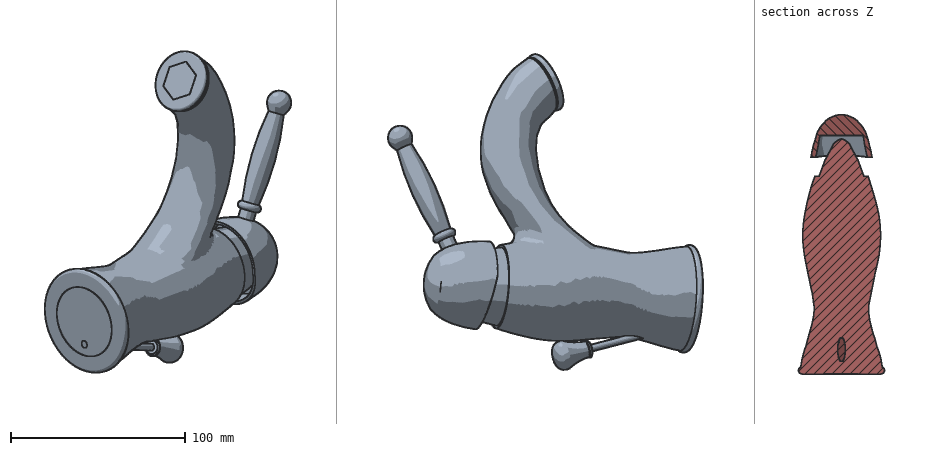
import cadquery as cq
import math


BEAD_RADIUS = 31.04
BEAD_WIDTH = 4.0
BASE_FACE_RADIUS = 28.9
FOOT_RADIUS = 30.0
FLARE_STATION = (13.9, 28.3)
WAIST_STATION = (36.5, 24.5)
SHOULDER_STATION = (52.0, 26.0)
BELLY_STATION = (79.5, 29.3)
BELLY_BACK_STATION = (99.1, 27.2)
BELLY_END = 113.8
BELLY_END_RADIUS = 24.0
NECK_RADIUS = 22.6
NECK_END = 137.1
NECK_END_RADIUS = 18.2

MARK_DEPTH = 0.2
BASE_MARK_RADIUS = 20.8
OUTLET_HEX_FLATS = 20.0

OUTLET_TILT = 61.0
OUTLET_CENTRE_Y = 88.5
OUTLET_CENTRE_Z = 121.4
SPOUT_END_HALF_WIDTH = 17.2
SPOUT_END_HALF_DEPTH = 17.0
SPOUT_SECTIONS = [
    (67.6, 14.8, 0.0, 22.8, 22.6),
    (87.6, 34.6, 0.0, 18.5, 17.2),
    (102.0, 55.5, 0.0, 17.5, 15.7),
    (108.0, 82.5, 0.0, 16.5, 16.0),
    (102.1, 105.5, 30.0, 16.5, 15.7),
    (OUTLET_CENTRE_Y, OUTLET_CENTRE_Z, OUTLET_TILT, SPOUT_END_HALF_WIDTH, SPOUT_END_HALF_DEPTH),
]
SPOUT_ROOT_FILLET = 6.5
ROOT_REGION = ((-26.0, 55.5, 7.5), (26.0, 105.6, 30.5))

RING_GROOVE_RADIUS = 16.5
RING_GROOVE_WIDTH = 1.1
RING_RADIUS = 17.6
RING_WIDTH = 3.7
RING_EDGE_ROUND = 1.5

CAP_RIM = 121.0
CAP_RADIUS = 25.5
CAP_SIDE_STATION = (140.8, 22.6)
CAP_DOME_START = 152.1
CAP_DOME_EDGE_RADIUS = 16.1
CAP_END = 157.5
CAP_WALL = 1.5
POCKET_FLOOR_RADIUS = 22.2
RIM_CUT_ANGLE = 11.2

LEVER_TILT = 25.0
BALL_CENTRE_Y = 172.3
BALL_CENTRE_Z = 84.3
BALL_RADIUS = 7.0
BALL_NECK = 2.6
GRIP_TOP = 6.1
GRIP_TOP_RADIUS = 4.6
GRIP_MIDDLE = 33.4
GRIP_MIDDLE_RADIUS = 7.0
GRIP_BOTTOM = 59.8
GRIP_BOTTOM_RADIUS = 5.0
COLLAR_RADIUS = 6.9
COLLAR_BOTTOM = 64.3
LEVER_STEM_RADIUS = 4.6
LEVER_END = 76.0

ROD_SLOPE = 17.9
ROD_START_Z = -13.9
ROD_RADIUS = 2.0
KNOB_RING_START = 62.5
KNOB_RING_WIDTH = 1.0
KNOB_RING_RADII = [4.0, 5.2]
KNOB_GROOVE_RADIUS = 3.7
KNOB_FLARE_START_RADIUS = 4.6
KNOB_FLARE_MIDDLE = 71.2
KNOB_FLARE_MIDDLE_RADIUS = 5.7
KNOB_RIM_START = 78.0
KNOB_RIM_START_RADIUS = 8.3
KNOB_RIM_RADIUS = 8.5
KNOB_RIM_END = 81.3
KNOB_RIM_END_RADIUS = 8.2
KNOB_SHOULDER = (83.4, 6.7)
KNOB_DOME_START = (84.3, 4.6)
KNOB_END = 84.9


def turning_plane(y, z, angle):
    """Plane X = 0 with its first axis pointing along +Y raised by `angle` degrees."""
    direction = (0, math.cos(math.radians(angle)), math.sin(math.radians(angle)))
    return cq.Plane(origin=(0, y, z), xDir=direction, normal=(-1, 0, 0))


def turn(outline):
    """Revolve a closed half outline about the first axis of its plane."""
    return outline.close().revolve(360, (0, 0), (1, 0))


def make_turned_housing():
    outline = (
        cq.Workplane(turning_plane(0, 0, 0))
        .lineTo(0, BASE_FACE_RADIUS)
        .threePointArc((BEAD_WIDTH / 2, BEAD_RADIUS), (BEAD_WIDTH, FOOT_RADIUS))
        .spline(
            [
                FLARE_STATION,
                WAIST_STATION,
                SHOULDER_STATION,
                BELLY_STATION,
                BELLY_BACK_STATION,
                (BELLY_END, BELLY_END_RADIUS),
            ],
            includeCurrent=True,
        )
        .lineTo(BELLY_END, NECK_RADIUS)
        .lineTo(NECK_END, NECK_END_RADIUS)
        .lineTo(NECK_END, 0)
    )
    return turn(outline)


def section_plane(y, z, tilt):
    """Plane centred on X = 0 whose normal leans from +Z towards -Y by `tilt` degrees."""
    angle = math.radians(tilt)
    normal = (0, -math.sin(angle), math.cos(angle))
    return cq.Plane(origin=(0, y, z), xDir=(1, 0, 0), normal=normal)


def outlet_plane(offset):
    """Plane square to the outlet axis, `offset` beyond the spout end."""
    spout_end = section_plane(OUTLET_CENTRE_Y, OUTLET_CENTRE_Z, OUTLET_TILT)
    centre = spout_end.origin + spout_end.zDir * offset
    return section_plane(centre.y, centre.z, OUTLET_TILT)


def make_spout():
    wires = []
    for y, z, tilt, half_width, half_depth in SPOUT_SECTIONS:
        section = cq.Workplane(section_plane(y, z, tilt)).ellipse(half_width, half_depth)
        wires.append(section.wires().val())
    return cq.Workplane(cq.Solid.makeLoft(wires))


def make_outlet_ring():
    groove = cq.Workplane(outlet_plane(0)).circle(RING_GROOVE_RADIUS).extrude(RING_GROOVE_WIDTH)
    ring = (
        cq.Workplane(outlet_plane(RING_GROOVE_WIDTH))
        .circle(RING_RADIUS)
        .extrude(RING_WIDTH)
        .edges("%CIRCLE")
        .fillet(RING_EDGE_ROUND)
    )
    return groove.union(ring)


def make_outlet_mark():
    """Hexagonal mark with a corner pointing upwards."""
    face = outlet_plane(RING_GROOVE_WIDTH + RING_WIDTH)
    corner_diameter = OUTLET_HEX_FLATS / math.cos(math.pi / 6)
    return (
        cq.Workplane(face)
        .transformed(rotate=(0, 0, 90))
        .polygon(6, corner_diameter)
        .extrude(-MARK_DEPTH)
    )


def make_base_mark():
    return cq.Workplane("XZ").circle(BASE_MARK_RADIUS).extrude(-MARK_DEPTH)


def make_rod_blank():
    """Rod and knob, with the plain end running out past the base face."""
    outline = (
        cq.Workplane(turning_plane(0, ROD_START_Z, -ROD_SLOPE))
        .moveTo(-ROD_RADIUS, 0)
        .lineTo(-ROD_RADIUS, ROD_RADIUS)
        .lineTo(KNOB_RING_START, ROD_RADIUS)
        .lineTo(KNOB_RING_START, KNOB_GROOVE_RADIUS)
    )
    start = KNOB_RING_START
    for ring_radius in KNOB_RING_RADII:
        middle = start + KNOB_RING_WIDTH / 2
        end = start + KNOB_RING_WIDTH
        outline = outline.threePointArc((middle, ring_radius), (end, KNOB_GROOVE_RADIUS))
        start = end
    flare_middle = (KNOB_FLARE_MIDDLE, KNOB_FLARE_MIDDLE_RADIUS)
    rim_start = (KNOB_RIM_START, KNOB_RIM_START_RADIUS)
    rim_middle = ((KNOB_RIM_START + KNOB_RIM_END) / 2, KNOB_RIM_RADIUS)
    rim_end = (KNOB_RIM_END, KNOB_RIM_END_RADIUS)
    outline = (
        outline.lineTo(start, KNOB_FLARE_START_RADIUS)
        .threePointArc(flare_middle, rim_start)
        .threePointArc(rim_middle, rim_end)
        .threePointArc(KNOB_SHOULDER, KNOB_DOME_START)
        .lineTo(KNOB_END, 0)
    )
    return turn(outline)


def make_pull_rod():
    """Rod trimmed flush with the floor of the base mark."""
    trim = cq.Workplane("XZ", origin=(0, MARK_DEPTH, 0)).circle(BASE_MARK_RADIUS).extrude(BEAD_RADIUS)
    return make_rod_blank().cut(trim)


def make_housing():
    root = cq.selectors.BoxSelector(*ROOT_REGION)
    housing = make_turned_housing().union(make_spout())
    housing = housing.edges(root).fillet(SPOUT_ROOT_FILLET)
    housing = housing.union(make_outlet_ring())
    housing = housing.cut(make_outlet_mark()).cut(make_base_mark())
    return housing.cut(make_rod_blank())


def make_lever():
    collar_middle = (GRIP_BOTTOM + COLLAR_BOTTOM) / 2
    neck_radius = math.sqrt(BALL_RADIUS**2 - BALL_NECK**2)
    outline = (
        cq.Workplane(turning_plane(BALL_CENTRE_Y, BALL_CENTRE_Z, -90 - LEVER_TILT))
        .moveTo(-BALL_RADIUS, 0)
        .threePointArc((0, BALL_RADIUS), (BALL_NECK, neck_radius))
        .lineTo(GRIP_TOP, GRIP_TOP_RADIUS)
        .threePointArc((GRIP_MIDDLE, GRIP_MIDDLE_RADIUS), (GRIP_BOTTOM, GRIP_BOTTOM_RADIUS))
        .threePointArc((collar_middle, COLLAR_RADIUS), (COLLAR_BOTTOM, LEVER_STEM_RADIUS))
        .lineTo(LEVER_END, LEVER_STEM_RADIUS)
        .lineTo(LEVER_END, 0)
    )
    return turn(outline)


def make_cap():
    dome_height = CAP_END - CAP_DOME_START
    dome_sphere = (CAP_DOME_EDGE_RADIUS**2 + dome_height**2) / (2 * dome_height)
    dome_middle_radius = CAP_DOME_EDGE_RADIUS / 2
    dome_middle = CAP_END - dome_sphere + math.sqrt(dome_sphere**2 - dome_middle_radius**2)
    outline = (
        cq.Workplane(turning_plane(0, 0, 0))
        .moveTo(CAP_RIM, 0)
        .lineTo(CAP_RIM, CAP_RADIUS)
        .spline(
            [CAP_SIDE_STATION, (CAP_DOME_START, CAP_DOME_EDGE_RADIUS)],
            tangents=[(1, 0), (1, -1)],
            includeCurrent=True,
        )
        .threePointArc((dome_middle, dome_middle_radius), (CAP_END, 0))
    )
    return turn(outline)


def make_cap_pocket():
    """Tapered hollow that ends flat on the housing neck."""
    outline = (
        cq.Workplane(turning_plane(0, 0, 0))
        .moveTo(CAP_RIM, 0)
        .lineTo(CAP_RIM, CAP_RADIUS - CAP_WALL)
        .lineTo(NECK_END, POCKET_FLOOR_RADIUS)
        .lineTo(NECK_END, 0)
    )
    return turn(outline)


def make_rim_cut():
    """Wedge that slants the lower half of the cap rim."""
    depth = 2 * CAP_RADIUS
    slant = depth * math.tan(math.radians(RIM_CUT_ANGLE))
    return (
        cq.Workplane("YZ")
        .moveTo(CAP_RIM, 0)
        .lineTo(CAP_RIM + slant, -depth)
        .lineTo(CAP_RIM, -depth)
        .close()
        .extrude(depth, both=True)
    )


def make_handle():
    cap = make_cap().union(make_lever())
    return cap.cut(make_cap_pocket()).cut(make_rim_cut())


housing = make_housing()
handle = make_handle()
pull_rod = make_pull_rod()

result = cq.Compound.makeCompound([housing.val(), handle.val(), pull_rod.val()])